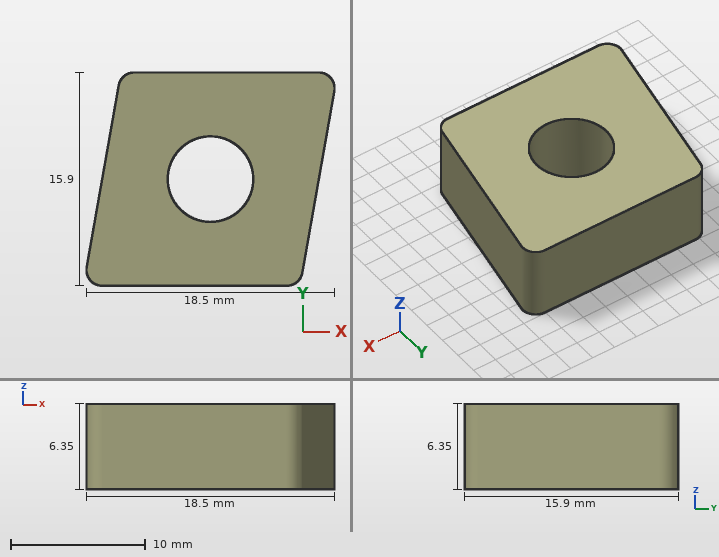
import cadquery as cq
import math

inscribed_circle_diameter = 15.875
thickness = 6.35
hole_diameter = 6.35
corner_radius = 1.191
acute_angle = math.radians(80)

side_length = inscribed_circle_diameter / math.sin(acute_angle)
half_depth = inscribed_circle_diameter / 2
slant_offset = half_depth / math.tan(acute_angle)


def rhombus_body():
    """Rhombic prism centred on the Z axis, with two sides parallel to X."""
    half_side = side_length / 2
    corners = [
        (-half_side - slant_offset, -half_depth),
        (half_side - slant_offset, -half_depth),
        (half_side + slant_offset, half_depth),
        (-half_side + slant_offset, half_depth),
    ]
    return cq.Workplane("XY").polyline(corners).close().extrude(thickness)


def round_corners(body):
    """Round the four upright corner edges."""
    return body.edges("|Z").fillet(corner_radius)


def cut_centre_hole(body):
    """Cut the clamping hole through the full thickness."""
    hole = cq.Workplane("XY").circle(hole_diameter / 2).extrude(thickness)
    return body.cut(hole)


result = cut_centre_hole(round_corners(rhombus_body()))